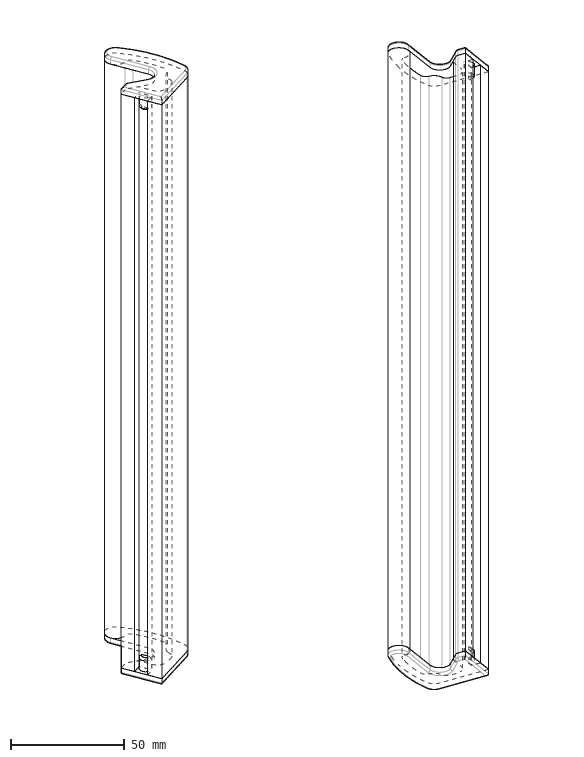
import cadquery as cq
import math

width = 40.0
depth = 32.0
length = 306.0

crown_radius = 60.0
edge_radius = 5.0

wall = 4.0
bead_fillet = 2.9
hollow_radius = 5.0

foot_top_drop = 23.3
slope_offset = 47.5
lip_radius = 2.5
nose_radius = 2.5

groove_width = 6.5
groove_depth = 4.5
groove_margin = 7.0

cap_height = 3.5
cap_fillet = 1.07
cap_wall = 11.5
cap_inner_radius = 5.0
peg_radius = 2.9
peg_length = 6.7
peg_chamfer = 1.07

middle_x = width / 2
left_x = edge_radius
right_x = width - edge_radius
crown_y = -crown_radius
shoulder_y = crown_y + math.sqrt((crown_radius - edge_radius) ** 2 - (middle_x - left_x) ** 2)
shoulder_angle = math.degrees(math.atan2(shoulder_y - crown_y, right_x - middle_x))
arm_y = shoulder_y - edge_radius
foot_left = middle_x
foot_y = -foot_top_drop
groove_left = width - groove_margin - groove_width
groove_floor_y = groove_depth - depth
profile_length = length - 2 * cap_height
left_edge = (left_x, shoulder_y)
right_edge = (right_x, shoulder_y)
crown = (middle_x, crown_y)

corner_setback = math.tan(math.radians(45 / 2))


def polar(center, radius, angle):
    """Point on a circle, with the angle in degrees from +X."""
    a = math.radians(angle)
    return (center[0] + radius * math.cos(a), center[1] + radius * math.sin(a))


def arc_on(outline, center, radius, start, end):
    """Continue an outline, which is already at the start angle, along an arc to the end angle."""
    middle = polar(center, radius, (start + end) / 2)
    return outline.threePointArc(middle, polar(center, radius, end))


def back_and_foot():
    """The outline shared by profile and caps: left edge, crown, right side, foot and its nose."""
    outline = cq.Workplane("XY").moveTo(0, shoulder_y)
    outline = arc_on(outline, left_edge, edge_radius, 180, 180 - shoulder_angle)
    outline = arc_on(outline, crown, crown_radius, 180 - shoulder_angle, shoulder_angle)
    outline = arc_on(outline, right_edge, edge_radius, shoulder_angle, 0)

    nose_setback = nose_radius * corner_setback
    nose_y = foot_left - slope_offset - nose_setback
    outline = outline.lineTo(width, -depth).lineTo(foot_left, -depth).lineTo(foot_left, nose_y)
    return arc_on(outline, (foot_left + nose_radius, nose_y), nose_radius, 180, 135)


def left_bead(outline, start):
    """Round the arm's free edge from the start angle and close the outline."""
    return arc_on(outline, left_edge, edge_radius, start, 180).close()


def cap_outline():
    """Solid cross-section of the end caps, with a flat arm and a sloping throat."""
    inner = (width - cap_wall - cap_inner_radius, arm_y - cap_inner_radius)
    outline = back_and_foot().lineTo(*polar(inner, cap_inner_radius, -45))
    outline = arc_on(outline, inner, cap_inner_radius, -45, 90).lineTo(left_x, arm_y)
    return left_bead(outline, 270)


def profile_outline():
    """Thin-walled cross-section: two beads joined by a curved wall, a web and the foot."""
    web_x = width - wall

    web_center_x = web_x - bead_fillet
    web_rise = math.sqrt((edge_radius + bead_fillet) ** 2 - (right_x - web_center_x) ** 2)
    web_center = (web_center_x, shoulder_y - web_rise)
    web_angle = math.degrees(math.atan2(web_rise, right_x - web_center_x))

    inner_reach = crown_radius - wall - bead_fillet
    bead_reach = edge_radius + bead_fillet
    bead_distance = crown_radius - edge_radius
    cosine = (inner_reach**2 + bead_distance**2 - bead_reach**2) / (2 * inner_reach * bead_distance)
    wall_angle = shoulder_angle + math.degrees(math.acos(cosine))
    arm_center = polar(crown, inner_reach, wall_angle)
    bead_angle = math.degrees(math.atan2(shoulder_y - arm_center[1], right_x - arm_center[0]))
    left_center = (width - arm_center[0], arm_center[1])

    hollow = (web_x - hollow_radius, foot_y + hollow_radius)
    lip_x = slope_offset + foot_y + lip_radius * corner_setback
    lip = (lip_x, foot_y - lip_radius)

    outline = back_and_foot().lineTo(*polar(lip, lip_radius, 135))
    outline = arc_on(outline, lip, lip_radius, 135, 90).lineTo(hollow[0], foot_y)
    outline = arc_on(outline, hollow, hollow_radius, -90, 0).lineTo(web_x, web_center[1])
    outline = arc_on(outline, web_center, bead_fillet, 0, web_angle)
    outline = arc_on(outline, right_edge, edge_radius, 180 + web_angle, 180 + bead_angle)
    outline = arc_on(outline, arm_center, bead_fillet, bead_angle, wall_angle)
    outline = arc_on(outline, crown, crown_radius - wall, wall_angle, 180 - wall_angle)
    outline = arc_on(outline, left_center, bead_fillet, 180 - wall_angle, 180 - bead_angle)
    return left_bead(outline, 360 - bead_angle)


def make_profile():
    """The long grip profile, grooved along the front of its foot."""
    body = profile_outline().extrude(profile_length).translate((0, 0, cap_height))
    groove = cq.Workplane("XY").box(groove_width, groove_depth, length, centered=False)
    return body.cut(groove.translate((groove_left, -depth, 0)))


def make_peg():
    """Half-round peg that lies on the groove floor, chamfered at its free end."""
    center = (groove_left + groove_width / 2, groove_floor_y, cap_height)
    peg = cq.Workplane("XY", origin=center).circle(peg_radius).extrude(peg_length)
    peg = peg.faces(">Z").chamfer(peg_chamfer)
    front_half = cq.Workplane("XY").box(width, peg_radius, length, centered=False)
    return peg.intersect(front_half.translate((0, groove_floor_y - peg_radius, 0)))


def make_cap():
    """Bottom end cap with a rounded outer rim and its peg."""
    cap = cap_outline().extrude(cap_height).faces("<Z").edges().fillet(cap_fillet)
    return cap.union(make_peg())


profile = make_profile()
bottom_cap = make_cap()
top_cap = make_cap().mirror("XY").translate((0, 0, length))
result = cq.Compound.makeCompound([body.solids().val() for body in (profile, bottom_cap, top_cap)])